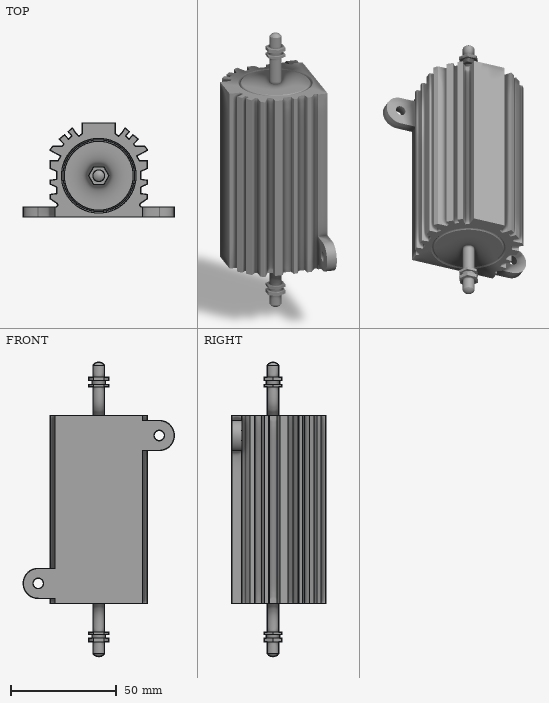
import cadquery as cq
import math

housing_length = 88.9
total_height = 44.45
base_depth = 19.5
block_top = total_height - base_depth
block_half_width = 7.8
fin_tip = 22.95
fin_root = 19.85
base_half_width = 20.7

lug_hole_spacing_x = 57.15
lug_hole_spacing_z = 69.85
total_width = 71.41
lug_radius = (total_width - lug_hole_spacing_x) / 2
lug_hole_diameter = 4.8
lug_top = -14.7
lug_thickness = lug_top + base_depth

groove_outer_radius = 17.65
groove_inner_radius = 16.25
groove_depth = 0.7

rod_length = 139.14
rod_radius = 2.75
dome_height = 1.5

nut_across_corners = 9.6
inner_nut_start = 57.9
inner_nut_end = 59.1
outer_nut_start = 60.8
outer_nut_end = 62.5
collar_radius = 3.2


def housing_half():
    """Right half (X >= 0) of the finned housing, outlined from the top of the block downwards."""
    shoulder_top = 14.0
    first_fin_top = 7.1
    step_start = -13.0
    return (
        cq.Workplane("XY")
        .workplane(offset=-housing_length / 2)
        .moveTo(0, block_top)
        .lineTo(block_half_width, block_top)
        .lineTo(block_half_width, 19.9)
        .lineTo(9.4, 18.7)
        .lineTo(11.0, 20.4)
        .lineTo(12.4, 22.6)
        .lineTo(14.5, 20.8)
        .lineTo(12.7, 18.8)
        .lineTo(14.3, 17.3)
        .lineTo(16.1, 19.4)
        .lineTo(18.7, 17.3)
        .lineTo(16.5, 15.0)
        .lineTo(17.2, shoulder_top)
        .lineTo(21.6, shoulder_top)
        .lineTo(fin_tip, 12.4)
        .lineTo(fin_tip, 11.9)
        .lineTo(18.0, 9.35)
        .lineTo(19.2, first_fin_top)
        .lineTo(fin_tip, first_fin_top)
        .lineTo(fin_tip, 3.4)
        .lineTo(fin_root, 2.0)
        .lineTo(fin_root, -1.65)
        .lineTo(fin_tip, -2.1)
        .lineTo(fin_tip, -4.0)
        .lineTo(fin_root, -5.4)
        .lineTo(fin_root, -8.4)
        .lineTo(fin_tip, -8.8)
        .lineTo(fin_tip, -10.9)
        .lineTo(fin_root, step_start)
        .tangentArcPoint((base_half_width, lug_top), relative=False)
        .lineTo(base_half_width, -base_depth)
        .lineTo(0, -base_depth)
        .close()
        .extrude(housing_length)
    )


def lug(side):
    """Round-ended lug with its hole; side is +1 for the upper right lug, -1 for the lower left."""
    hole_x = side * lug_hole_spacing_x / 2
    hole_z = side * lug_hole_spacing_z / 2
    plane = cq.Workplane("XZ").workplane(offset=-lug_top).center(hole_x, hole_z)
    arm_length = lug_hole_spacing_x / 2 - base_half_width + lug_radius
    arm = (
        plane.center(-side * arm_length / 2, 0)
        .rect(arm_length, 2 * lug_radius)
        .extrude(lug_thickness)
    )
    tip = plane.circle(lug_radius).extrude(lug_thickness)
    hole = plane.circle(lug_hole_diameter / 2).extrude(lug_thickness)
    return arm.union(tip).cut(hole)


def ring_groove():
    """V-section ring that is cut into the upper end face."""
    face_z = housing_length / 2
    middle_radius = (groove_outer_radius + groove_inner_radius) / 2
    return (
        cq.Workplane("XZ")
        .moveTo(groove_inner_radius, face_z)
        .lineTo(groove_outer_radius, face_z)
        .lineTo(middle_radius, face_z - groove_depth)
        .close()
        .revolve(360, (0, 0, 0), (0, 1, 0))
    )


def rod_half():
    """Upper half of the rod, ending in a spherical dome."""
    tip_z = rod_length / 2
    shoulder_z = tip_z - dome_height
    dome_radius = (rod_radius**2 + dome_height**2) / (2 * dome_height)
    half_angle = math.asin(rod_radius / dome_radius) / 2
    dome_middle = (
        dome_radius * math.sin(half_angle),
        tip_z - dome_radius * (1 - math.cos(half_angle)),
    )
    return (
        cq.Workplane("XZ")
        .lineTo(rod_radius, 0)
        .lineTo(rod_radius, shoulder_z)
        .threePointArc(dome_middle, (0, tip_z))
        .close()
        .revolve(360, (0, 0, 0), (0, 1, 0))
    )


def nut(start, end):
    """Hexagonal nut between two heights, with corners on the X axis."""
    return cq.Workplane("XY").workplane(offset=start).polygon(6, nut_across_corners).extrude(end - start)


def terminal():
    """Upper half of the rod with its nuts and collar."""
    collar = (
        cq.Workplane("XY")
        .workplane(offset=inner_nut_end)
        .circle(collar_radius)
        .extrude(outer_nut_start - inner_nut_end)
    )
    return (
        rod_half()
        .union(nut(inner_nut_start, inner_nut_end))
        .union(collar)
        .union(nut(outer_nut_start, outer_nut_end))
    )


right_half = housing_half()
housing = right_half.union(right_half.mirror("YZ"))
for side in (1, -1):
    housing = housing.union(lug(side))

groove = ring_groove()
housing = housing.cut(groove).cut(groove.mirror("XY"))

upper_terminal = terminal()
result = housing.union(upper_terminal).union(upper_terminal.mirror("XY"))